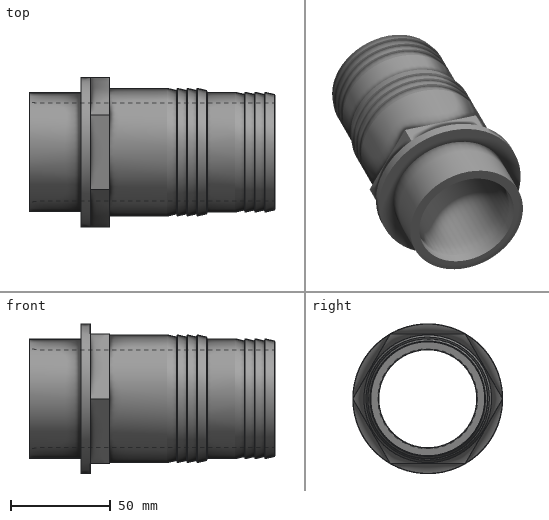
import cadquery as cq

total_length = 123.0
flange_start = 25.8
flange_width = 4.7
hex_width = 9.7
barbs_length = 19.9
barb_count = 4
large_barbs_start = 69.1

spigot_diameter = 59.7
flange_diameter = 75.0
large_hose_diameter = 64.0
small_hose_diameter = 60.0

barb_drop = 1.1
barb_cone_length = 0.4

bore_diameter = 49.1
lead_in_diameter = 50.0
lead_in_depth = 4.9

hex_start = flange_start + flange_width
barb_pitch = barbs_length / barb_count
small_barbs_start = total_length - barbs_length


def barb_points(start, crest_radius, end_radius):
    """Profile of a row of barbs, as (x, radius) points ending at end_radius."""
    points = []
    for index in range(barb_count):
        crest_x = start + index * barb_pitch
        next_x = crest_x + barb_pitch
        points.append((crest_x, crest_radius))
        points.append((next_x - barb_cone_length, crest_radius - barb_drop))
    points.append((start + barbs_length, end_radius))
    return points


def cylinder_along_x(start, length, diameter):
    return cq.Workplane("YZ", origin=(start, 0, 0)).circle(diameter / 2).extrude(length)


def hose_tail():
    """Stepped tail with one row of barbs on each hose diameter."""
    large_radius = large_hose_diameter / 2
    small_radius = small_hose_diameter / 2
    tip_radius = small_radius - barb_drop - barb_cone_length
    points = [(hex_start, 0), (hex_start, large_radius)]
    points += barb_points(large_barbs_start, large_radius, small_radius)
    points += barb_points(small_barbs_start, small_radius, tip_radius)
    points.append((total_length, 0))
    return cq.Workplane("XY").polyline(points).close().revolve(360, (0, 0, 0), (1, 0, 0))


def hexagon():
    """Spanner hexagon whose corners reach the flange rim, with corners on the Y axis."""
    return cq.Workplane("YZ", origin=(hex_start, 0, 0)).polygon(6, flange_diameter).extrude(hex_width)


def bore():
    """Through bore with the conical lead-in."""
    points = [
        (0, 0),
        (0, lead_in_diameter / 2),
        (lead_in_depth, bore_diameter / 2),
        (total_length, bore_diameter / 2),
        (total_length, 0),
    ]
    return cq.Workplane("XY").polyline(points).close().revolve(360, (0, 0, 0), (1, 0, 0))


spigot = cylinder_along_x(0, flange_start, spigot_diameter)
flange = cylinder_along_x(flange_start, flange_width, flange_diameter)

result = spigot.union(flange).union(hexagon()).union(hose_tail()).cut(bore())